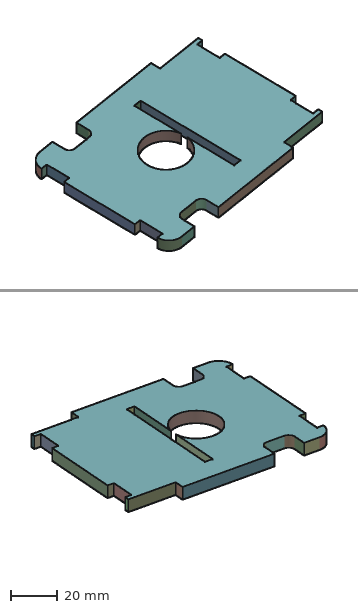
import cadquery as cq

length = 106.2
width = 81.0
thickness = 6.4
front_corner_radius = 7.5

rear_width = 70.7
rear_length = 25.3

tab_width = 40.5
notch_outer_span = 66.0
notch_depth = 3.4

recess_front = 15.8
recess_length = 15.8
recess_depth = 10.1
recess_radius = 3.2

slot_length = 57.0
slot_width = 4.1
slot_front = 55.9
hole_radius = 12.2
hole_center_y = recess_front + recess_length + hole_radius


def block(x_size, y_size, x_center, y_center):
    """Full-thickness rectangular block centred at the given place."""
    return (
        cq.Workplane("XY")
        .center(x_center, y_center)
        .rect(x_size, y_size)
        .extrude(thickness)
    )


def plate():
    """Wide plate with rounded front corners and a narrower rear section."""
    wide_length = length - rear_length
    wide = block(width, wide_length, 0, wide_length / 2)
    wide = wide.edges("|Z and <Y").fillet(front_corner_radius)
    rear = block(rear_width, rear_length, 0, length - rear_length / 2)
    return wide.union(rear)


def end_notch(side, y_center):
    """Notch beside a centre tab; twice its depth, so half lies off the plate."""
    notch_width = (notch_outer_span - tab_width) / 2
    x_center = side * (notch_outer_span + tab_width) / 4
    return block(notch_width, 2 * notch_depth, x_center, y_center)


def side_recess(side):
    """Side recess; twice its depth, so half lies off the plate."""
    y_center = recess_front + recess_length / 2
    recess = block(2 * recess_depth, recess_length, side * width / 2, y_center)
    return recess.edges("|Z").fillet(recess_radius)


result = plate()

for side in (-1, 1):
    result = result.cut(side_recess(side))
    for end_y in (0, length):
        result = result.cut(end_notch(side, end_y))

slot = block(slot_length, slot_width, 0, slot_front + slot_width / 2)
hole = cq.Workplane("XY").center(0, hole_center_y).circle(hole_radius).extrude(thickness)
result = result.cut(slot).cut(hole)